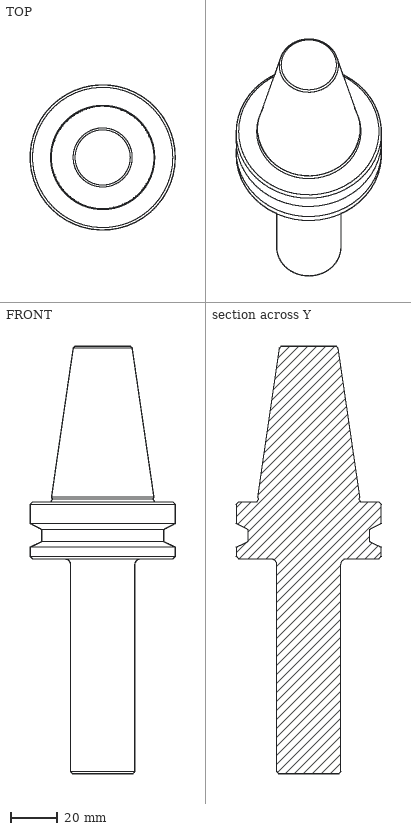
import cadquery as cq

total_height = 185.4
flange_bottom = 93.0
flange_top = 118.0
gauge_height = 120.0

gauge_diameter = 44.5
taper_ratio = 7 / 24
taper_tip_chamfer = 0.7
neck_undercut = 0.4
neck_waist_height = 119.0
neck_foot_diameter = 45.2

flange_diameter = 63.0
flange_chamfer = 1.1
groove_diameter = 53.0
groove_upper_edge = 108.5
groove_floor_top = 105.9
groove_floor_bottom = 100.7
groove_lower_edge = 98.3

arbor_diameter = 28.0
arbor_fillet = 2.5
arbor_end_chamfer = 1.0

gauge_radius = gauge_diameter / 2
flange_radius = flange_diameter / 2
groove_radius = groove_diameter / 2
arbor_radius = arbor_diameter / 2
tip_radius = gauge_radius - (total_height - gauge_height) * taper_ratio / 2


def make_arbor():
    """Plain cylinder with a chamfered free end."""
    arbor = cq.Workplane("XY").circle(arbor_radius).extrude(flange_bottom)
    return arbor.faces("<Z").chamfer(arbor_end_chamfer)


def make_flange():
    """Grooved disc, with a fillet running down onto the arbor."""
    return (
        cq.Workplane("XZ")
        .moveTo(0, flange_bottom - arbor_fillet)
        .lineTo(arbor_radius, flange_bottom - arbor_fillet)
        .radiusArc((arbor_radius + arbor_fillet, flange_bottom), arbor_fillet)
        .lineTo(flange_radius - flange_chamfer, flange_bottom)
        .lineTo(flange_radius, flange_bottom + flange_chamfer)
        .lineTo(flange_radius, groove_lower_edge)
        .lineTo(groove_radius, groove_floor_bottom)
        .lineTo(groove_radius, groove_floor_top)
        .lineTo(flange_radius, groove_upper_edge)
        .lineTo(flange_radius, flange_top - flange_chamfer)
        .lineTo(flange_radius - flange_chamfer, flange_top)
        .lineTo(0, flange_top)
        .close()
        .revolve(360, (0, 0, 0), (0, 1, 0))
    )


def make_taper():
    """Cone above the gauge plane, on a slightly waisted neck."""
    waist_radius = gauge_radius - neck_undercut
    taper = (
        cq.Workplane("XZ")
        .moveTo(0, flange_top)
        .lineTo(neck_foot_diameter / 2, flange_top)
        .lineTo(waist_radius, neck_waist_height)
        .lineTo(gauge_radius, gauge_height)
        .lineTo(tip_radius, total_height)
        .lineTo(0, total_height)
        .close()
        .revolve(360, (0, 0, 0), (0, 1, 0))
    )
    return taper.faces(">Z").chamfer(taper_tip_chamfer)


result = make_arbor().union(make_flange()).union(make_taper())